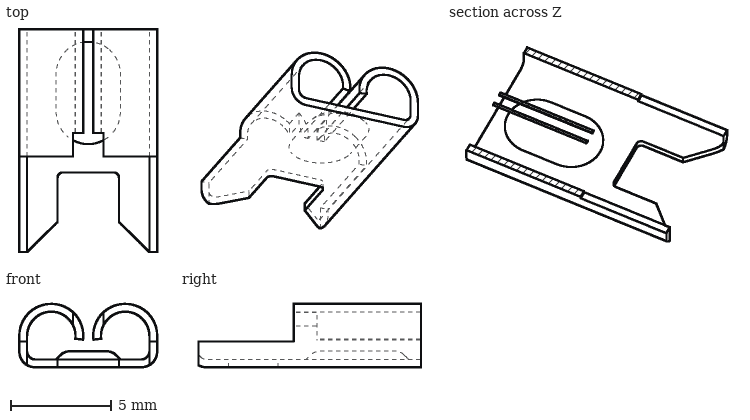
import cadquery as cq
import math


WIDTH = 6.88
LENGTH = 11.1
HEIGHT = 3.17
THICKNESS = 0.4

ROLL_RADIUS = 1.6
ROLL_TIP_DROP = math.radians(7)
BEND_RADIUS = 0.8

LOW_WALL_LENGTH = 4.75
LOW_WALL_HEIGHT = 1.3

NOTCH_WIDTH = 1.5
NOTCH_BACK = 5.92

OPENING_WIDTH = 3.04
OPENING_DEPTH = 3.96
OPENING_FLARE_DEPTH = 1.5
OPENING_CORNER_RADIUS = 0.25

PAD_CENTRE_Y = 7.92
PAD_LENGTH = 5.1
PAD_WIDTH = 3.2
PAD_HEIGHT = 0.41
PAD_SLOPE = math.radians(45)
PAD_SLOPE_HEIGHT = 0.21

HALF_WIDTH = WIDTH / 2
INNER_HALF_WIDTH = HALF_WIDTH - THICKNESS
ROLL_CENTRE_X = HALF_WIDTH - ROLL_RADIUS
ROLL_CENTRE_Z = HEIGHT - ROLL_RADIUS
CUT_MARGIN = 1.0


def roll_point(radius, angle):
    """Point on the right-hand roll, angle measured from +X towards +Z."""
    return (ROLL_CENTRE_X + radius * math.cos(angle), ROLL_CENTRE_Z + radius * math.sin(angle))


def bend_middle(radius):
    """Middle point of the right-hand bend between floor and wall."""
    centre_x = HALF_WIDTH - BEND_RADIUS
    offset = radius * math.sqrt(0.5)
    return (centre_x + offset, BEND_RADIUS - offset)


def make_formed_sheet():
    """Floor, bends, walls and rolls at constant thickness over the full length."""
    inner_roll = ROLL_RADIUS - THICKNESS
    inner_bend = BEND_RADIUS - THICKNESS
    bend_start_x = HALF_WIDTH - BEND_RADIUS
    tip_angle = math.pi + ROLL_TIP_DROP
    right_half = (
        cq.Workplane("XZ")
        .moveTo(0, 0)
        .lineTo(bend_start_x, 0)
        .threePointArc(bend_middle(BEND_RADIUS), (HALF_WIDTH, BEND_RADIUS))
        .lineTo(HALF_WIDTH, ROLL_CENTRE_Z)
        .threePointArc(roll_point(ROLL_RADIUS, math.pi / 2), roll_point(ROLL_RADIUS, tip_angle))
        .lineTo(*roll_point(inner_roll, tip_angle))
        .threePointArc(roll_point(inner_roll, math.pi / 2), (INNER_HALF_WIDTH, ROLL_CENTRE_Z))
        .lineTo(INNER_HALF_WIDTH, BEND_RADIUS)
        .threePointArc(bend_middle(inner_bend), (bend_start_x, THICKNESS))
        .lineTo(0, THICKNESS)
        .close()
        .extrude(-LENGTH)
    )
    return right_half.union(right_half.mirror("YZ"))


def box_above(width, back, bottom):
    """Cutting box centred on X, from in front of the part to `back`, above `bottom`."""
    size_y = back + CUT_MARGIN
    size_z = HEIGHT + CUT_MARGIN - bottom
    return (
        cq.Workplane("XY")
        .box(width, size_y, size_z, centered=(True, False, False))
        .translate((0, -CUT_MARGIN, bottom))
    )


def make_floor_opening():
    """Square-backed opening that flares out to the inner wall faces at the front."""
    half = OPENING_WIDTH / 2
    return (
        cq.Workplane("XY")
        .polyline([
            (-INNER_HALF_WIDTH, 0),
            (-half, OPENING_FLARE_DEPTH),
            (-half, OPENING_DEPTH),
            (half, OPENING_DEPTH),
            (half, OPENING_FLARE_DEPTH),
            (INNER_HALF_WIDTH, 0),
        ])
        .close()
        .extrude(BEND_RADIUS)
        .edges("|Z and >Y")
        .fillet(OPENING_CORNER_RADIUS)
    )


def pad_half_section():
    """Right half of the pad's cross section, rooted inside the floor."""
    end_radius = PAD_WIDTH / 2
    slope_radius = end_radius - PAD_SLOPE_HEIGHT / math.tan(PAD_SLOPE)
    crown_height = PAD_HEIGHT - PAD_SLOPE_HEIGHT
    crown_radius = crown_height / (1 - math.cos(PAD_SLOPE))
    flat_radius = slope_radius - crown_radius * math.sin(PAD_SLOPE)
    half_slope = PAD_SLOPE / 2
    crown_middle = (
        flat_radius + crown_radius * math.sin(half_slope),
        PAD_HEIGHT - crown_radius * (1 - math.cos(half_slope)),
    )
    return (
        cq.Workplane("XZ")
        .moveTo(0, -THICKNESS / 2)
        .lineTo(end_radius, -THICKNESS / 2)
        .lineTo(end_radius, 0)
        .lineTo(slope_radius, PAD_SLOPE_HEIGHT)
        .threePointArc(crown_middle, (flat_radius, PAD_HEIGHT))
        .lineTo(0, PAD_HEIGHT)
        .close()
    )


def make_pad():
    """Oblong pad: a straight bar with a revolved end at the front and back."""
    half_straight = (PAD_LENGTH - PAD_WIDTH) / 2
    right_bar = pad_half_section().extrude(half_straight, both=True)
    pad = right_bar.union(right_bar.mirror("YZ"))
    round_end = pad_half_section().revolve(360, (0, 0, 0), (0, 1, 0))
    for side in (-1, 1):
        pad = pad.union(round_end.translate((0, side * half_straight, 0)))
    return pad.translate((0, PAD_CENTRE_Y, THICKNESS))


result = (
    make_formed_sheet()
    .cut(box_above(WIDTH + 2 * CUT_MARGIN, LOW_WALL_LENGTH, LOW_WALL_HEIGHT))
    .cut(box_above(NOTCH_WIDTH, NOTCH_BACK, LOW_WALL_HEIGHT))
    .cut(make_floor_opening())
    .union(make_pad())
)